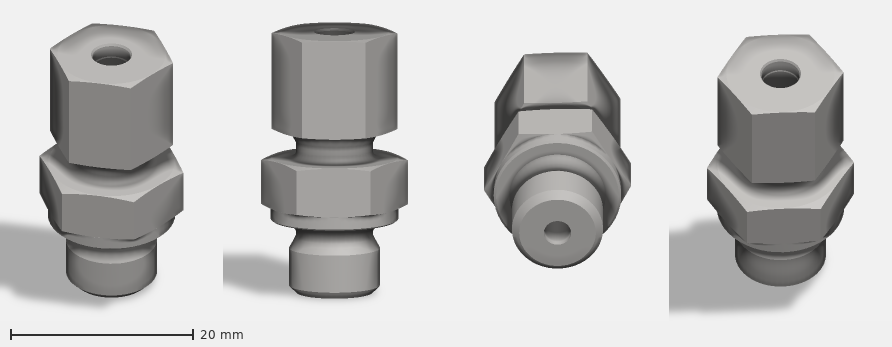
import cadquery as cq
import math


body_hex_width = 14.0
nut_hex_width = 12.0
corner_relief = 0.12
body_corner_angle = 15.0
nut_corner_angle = 10.0

stud_top = 4.93
flange_bottom = 8.0
hex_bottom = 9.5
hex_top = 15.0
nut_bottom = 18.0
body_top = 24.0
ring_top = 27.4
nut_top = 29.0

bore_dia = 3.0
thread_dia = 10.0
neck_dia = 8.4
stud_chamfer = (thread_dia - neck_dia) / 2
stud_taper_angle = 35.0
groove_taper_angle = 45.0
groove_root_radius = 0.85
groove_root_level = 6.58
flange_chamfer_height = 0.17
flange_chamfer_width = 0.25
neck_fillet = 0.78
neck_taper_angle = 30.0
neck_taper_top = 18.07

tube_dia = 4.0
ring_dia = 6.0
nut_bore_dia = 4.2
ring_chamfer = (nut_bore_dia - tube_dia) / 2
mouth_dia = 4.5
mouth_chamfer_width = (mouth_dia - nut_bore_dia) / 2
mouth_chamfer_angle = 30.0


def tan(angle):
    return math.tan(math.radians(angle))


def arc_point(center, radius, angle):
    """Point of a groove root whose arc bulges toward the axis; the angle is measured from its deepest point."""
    turn = math.radians(angle)
    return center[0] - radius * math.cos(turn), center[1] + radius * math.sin(turn)


def hexagon(width, bottom, top, corner_angle):
    """Hexagonal prism with corners along Y and conical corner chamfers at both ends."""
    corner_dia = width / math.cos(math.radians(30))
    end_radius = (width - corner_relief) / 2
    outer_radius = corner_dia / 2 + 0.3
    drop = (outer_radius - end_radius) * tan(corner_angle)
    prism = (
        cq.Workplane("XY", origin=(0, 0, bottom))
        .transformed(rotate=(0, 0, 90))
        .polygon(6, corner_dia)
        .extrude(top - bottom)
    )
    envelope = (
        cq.Workplane("XZ")
        .moveTo(0, bottom)
        .lineTo(end_radius, bottom)
        .lineTo(outer_radius, bottom + drop)
        .lineTo(outer_radius, top - drop)
        .lineTo(end_radius, top)
        .lineTo(0, top)
        .close()
        .revolve(360, (0, 0, 0), (0, 1, 0))
    )
    return prism.intersect(envelope)


def cylinder(diameter, bottom, top):
    return cq.Workplane("XY", origin=(0, 0, bottom)).circle(diameter / 2).extrude(top - bottom)


def make_stud():
    """Lower threaded stud, its run-out groove and the round flange under the hexagon."""
    stud_radius = thread_dia / 2
    flange_radius = body_hex_width / 2
    root = (neck_dia / 2 + groove_root_radius, groove_root_level)
    root_lower = arc_point(root, groove_root_radius, -stud_taper_angle)
    root_middle = arc_point(root, groove_root_radius, 0)
    root_upper = arc_point(root, groove_root_radius, groove_taper_angle)
    groove_top_radius = root_upper[0] + (flange_bottom - root_upper[1]) * tan(groove_taper_angle)
    return (
        cq.Workplane("XZ")
        .moveTo(0, 0)
        .lineTo(stud_radius - stud_chamfer, 0)
        .lineTo(stud_radius, stud_chamfer)
        .lineTo(stud_radius, stud_top)
        .lineTo(*root_lower)
        .threePointArc(root_middle, root_upper)
        .lineTo(groove_top_radius, flange_bottom)
        .lineTo(flange_radius - flange_chamfer_width, flange_bottom)
        .lineTo(flange_radius, flange_bottom + flange_chamfer_height)
        .lineTo(flange_radius, hex_bottom)
        .lineTo(0, hex_bottom)
        .close()
        .revolve(360, (0, 0, 0), (0, 1, 0))
    )


def make_neck():
    """Neck above the hexagon, filleted at its foot and widening into the thread inside the nut."""
    neck_radius = neck_dia / 2
    thread_radius = thread_dia / 2
    foot = (neck_radius + neck_fillet, hex_top + neck_fillet)
    taper_run = thread_radius - arc_point(foot, neck_fillet, neck_taper_angle)[0]
    upper_tangent_level = neck_taper_top - taper_run / tan(neck_taper_angle)
    upper_level = upper_tangent_level - neck_fillet * math.sin(math.radians(neck_taper_angle))
    upper = (foot[0], upper_level)
    return (
        cq.Workplane("XZ")
        .moveTo(0, hex_top)
        .lineTo(foot[0], hex_top)
        .threePointArc(arc_point(foot, neck_fillet, -45), (neck_radius, foot[1]))
        .lineTo(neck_radius, upper_level)
        .threePointArc(
            arc_point(upper, neck_fillet, neck_taper_angle / 2),
            arc_point(upper, neck_fillet, neck_taper_angle),
        )
        .lineTo(thread_radius, neck_taper_top)
        .lineTo(thread_radius, body_top)
        .lineTo(0, body_top)
        .close()
        .revolve(360, (0, 0, 0), (0, 1, 0))
    )


def make_fitting_body():
    hex_section = hexagon(body_hex_width, hex_bottom, hex_top, body_corner_angle)
    bore = cylinder(bore_dia, 0, body_top)
    return make_stud().union(hex_section).union(make_neck()).cut(bore)


def make_ring():
    """Sleeve standing on the fitting body, chamfered at the top of its tube bore."""
    sleeve = cylinder(ring_dia, body_top, ring_top).cut(cylinder(tube_dia, body_top, ring_top))
    return sleeve.faces(">Z").edges("%CIRCLE").edges(cq.selectors.RadiusNthSelector(0)).chamfer(ring_chamfer)


def make_nut():
    mouth_depth = mouth_chamfer_width / tan(mouth_chamfer_angle)
    nut = hexagon(nut_hex_width, nut_bottom, nut_top, nut_corner_angle)
    thread_hole = cylinder(thread_dia, nut_bottom, body_top)
    ring_recess = cylinder(ring_dia, body_top, ring_top)
    tube_hole = cylinder(nut_bore_dia, ring_top, nut_top)
    mouth = cq.Workplane(
        cq.Solid.makeCone(
            nut_bore_dia / 2, mouth_dia / 2, mouth_depth, pnt=cq.Vector(0, 0, nut_top - mouth_depth)
        )
    )
    return nut.cut(thread_hole).cut(ring_recess).cut(tube_hole).cut(mouth)


fitting_body = make_fitting_body()
ring = make_ring()
nut = make_nut()

result = cq.Compound.makeCompound([fitting_body.val(), ring.val(), nut.val()])